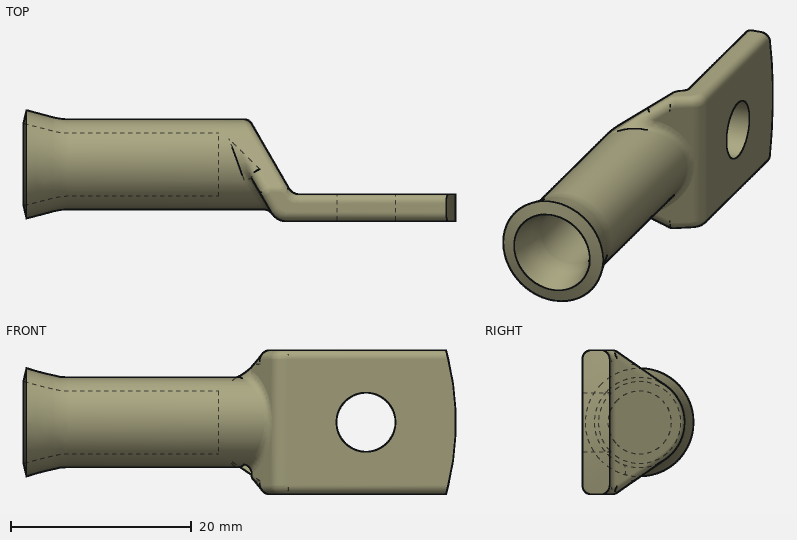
import cadquery as cq
import math

length = 47.9
barrel_radius = 5.005
bore_radius = 3.5
bore_depth = 21.55
mouth_outer_radius = 6.01
mouth_inner_radius = 4.55
mouth_rim_setback = 0.35
flare_corner_x = 4.1
flare_bend_radius = 6.0

half_width = 8.0
tongue_bottom = -6.3
tongue_thickness = 3.0
tongue_top = tongue_bottom + tongue_thickness
end_arc_sagitta = 1.1
hole_diameter = 6.5
hole_x = 37.95

neck_angle = 60.0
neck_top_corner_x = 29.8
neck_bottom_corner_x = 28.0
inner_bend_radius = 1.35
outer_bend_radius = 1.9
edge_radius = 1.0
flank_contact_angle = 55.2

tolerance = 0.025


def neck_x(corner_x, corner_y, y):
    """X of a sloping neck face at height y."""
    return corner_x - (y - corner_y) / math.tan(math.radians(neck_angle))


def revolve_flared(outline, bend_radius):
    """Revolve an (x, radius) outline about X and round its flare corner."""
    turned = cq.Workplane("XY").polyline(outline).close().revolve(360, (0, 0, 0), (1, 0, 0))
    flare_zone = cq.selectors.BoxSelector(
        (flare_corner_x - tolerance, -length, -length),
        (flare_corner_x + tolerance, length, length),
    )
    return turned.edges(flare_zone).edges("%CIRCLE").fillet(bend_radius)


def make_barrel():
    """Solid flared barrel, trimmed by the upper neck face."""
    barrel_end = neck_x(neck_top_corner_x, tongue_top, -barrel_radius)
    blank = revolve_flared(
        [
            (0, 0),
            (0, mouth_inner_radius),
            (mouth_rim_setback, mouth_outer_radius),
            (flare_corner_x, barrel_radius),
            (barrel_end, barrel_radius),
            (barrel_end, 0),
        ],
        flare_bend_radius,
    )
    trim = (
        cq.Workplane("XY")
        .polyline([
            (0, -half_width),
            (neck_x(neck_top_corner_x, tongue_top, -half_width), -half_width),
            (neck_x(neck_top_corner_x, tongue_top, half_width), half_width),
            (0, half_width),
        ])
        .close()
        .extrude(half_width, both=True)
    )
    return blank.intersect(trim)


def make_bore():
    """Blind wire bore with a flared entry."""
    return revolve_flared(
        [
            (0, 0),
            (0, mouth_inner_radius),
            (flare_corner_x, bore_radius),
            (bore_depth, bore_radius),
            (bore_depth, 0),
        ],
        flare_bend_radius,
    )


def make_plate():
    """Tongue and neck; the neck's flanks run tangent into the barrel."""
    side = (
        cq.Workplane("XY")
        .polyline([
            (length, tongue_bottom),
            (neck_bottom_corner_x, tongue_bottom),
            (neck_x(neck_bottom_corner_x, tongue_bottom, half_width), half_width),
            (neck_x(neck_top_corner_x, tongue_top, half_width), half_width),
            (neck_top_corner_x, tongue_top),
            (length, tongue_top),
        ])
        .close()
        .extrude(half_width, both=True)
    )
    flank_angle = math.radians(flank_contact_angle)
    tangent_y = barrel_radius * math.cos(flank_angle)
    tangent_z = barrel_radius * math.sin(flank_angle)
    shoulder_y = tangent_y - (half_width - tangent_z) * math.tan(flank_angle)
    profile = (
        cq.Workplane("YZ")
        .moveTo(tongue_bottom, -half_width)
        .lineTo(shoulder_y, -half_width)
        .lineTo(tangent_y, -tangent_z)
        .threePointArc((barrel_radius, 0), (tangent_y, tangent_z))
        .lineTo(shoulder_y, half_width)
        .lineTo(tongue_bottom, half_width)
        .close()
        .extrude(length)
    )
    return side.intersect(profile)


def bend_edges(body, corner_x, corner_y):
    """The transverse edge where a neck face meets a tongue face."""
    zone = cq.selectors.BoxSelector(
        (corner_x - tolerance, corner_y - tolerance, -tolerance),
        (corner_x + tolerance, corner_y + tolerance, tolerance),
    )
    return body.edges(zone)


def neck_edges(body, corner_x, corner_y):
    """Edges around a sloping neck face, apart from its transverse bend."""
    def in_neck_face(edge):
        points = [edge.positionAt(t) for t in (0, 0.5, 1)]
        return all(abs(p.x - neck_x(corner_x, corner_y, p.y)) < tolerance for p in points)

    def is_transverse(edge):
        return edge.geomType() == "LINE" and abs(edge.Center().z) < tolerance

    return [e for e in body.edges().vals() if in_neck_face(e) and not is_transverse(e)]


def tongue_edges(body, y):
    """The two long edges of a tongue face."""
    def on_long_side(edge):
        center = edge.Center()
        return abs(center.y - y) < tolerance and abs(center.z) > half_width - tolerance

    return [e for e in body.edges("|X").vals() if on_long_side(e)]


def round_edges(body):
    """Round the bends, then the rims of the upper and lower faces."""
    top_corner = (neck_top_corner_x, tongue_top)
    bottom_corner = (neck_bottom_corner_x, tongue_bottom)
    body = bend_edges(body, *top_corner).fillet(inner_bend_radius)
    body = body.newObject(neck_edges(body, *top_corner)).fillet(edge_radius)
    body = body.newObject(tongue_edges(body, tongue_top)).fillet(edge_radius)
    body = bend_edges(body, *bottom_corner).fillet(outer_bend_radius)
    lower_rim = neck_edges(body, *bottom_corner) + tongue_edges(body, tongue_bottom)
    return body.newObject(lower_rim).fillet(edge_radius)


def make_end_trim():
    """Envelope that gives the tongue its arched end."""
    shoulder_x = length - end_arc_sagitta
    return (
        cq.Workplane("XZ")
        .moveTo(0, -half_width)
        .lineTo(shoulder_x, -half_width)
        .threePointArc((length, 0), (shoulder_x, half_width))
        .lineTo(0, half_width)
        .close()
        .extrude(half_width, both=True)
    )


def make_hole():
    """Bolt hole through the tongue."""
    return (
        cq.Workplane("XZ")
        .center(hole_x, 0)
        .circle(hole_diameter / 2)
        .extrude(half_width, both=True)
    )


body = round_edges(make_barrel().union(make_plate()))
result = body.intersect(make_end_trim()).cut(make_bore()).cut(make_hole())